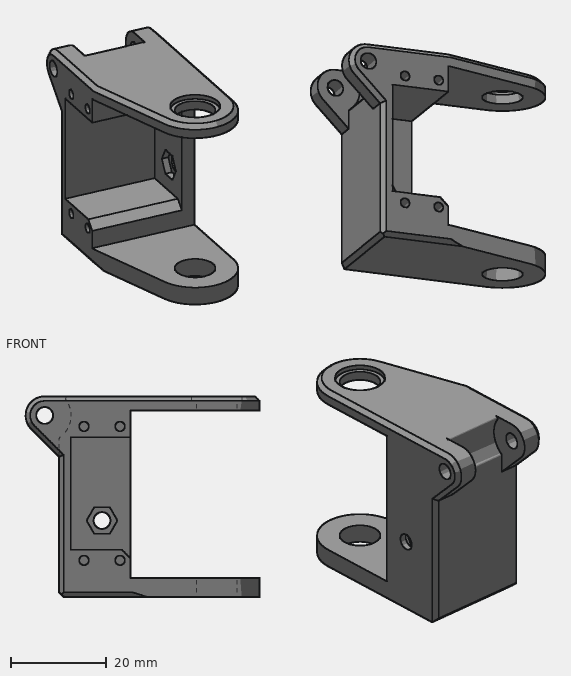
import math

import cadquery as cq

length = 48.95
width = 24.0
height = 42.0
chamfer = 1.0

arm_radius = 9.0
pivot_x = length - arm_radius
pivot_y = width - arm_radius
taper_start_x = 22.5
bottom_arm_thickness = 4.0
top_arm_thickness = 3.0
pivot_hole_diameter = 8.5
pivot_recess_diameter = 10.5
pivot_recess_depth = 1.0

back_x = 7.0
body_end_x = 22.0

lug_radius = 4.0
lug_width = 5.0
lug_root_x = 8.9
lug_hole_diameter = 3.5
hinge_x = lug_radius
hinge_z = height - lug_radius

groove_radius = 5.5
lip_radius = 0.5

pocket_x = 9.45
pocket_bottom_z = 9.95
pocket_top_z = 33.45
pocket_bevel = 1.85
pocket_floor_thickness = 3.0

screw_hole_diameter = 2.0
screw_hole_depth = 10.0
screw_hole_xs = (12.25, 19.8)
screw_hole_zs = (7.7, 35.7)

bolt_x = 16.0
bolt_z = 16.0
bolt_hole_diameter = 3.5
nut_across_corners = 6.45
nut_recess_depth = 1.5


def plane_at_y(y):
    """Sketch plane whose local axes are global X and Z and that extrudes toward +Y."""
    return cq.Workplane(cq.Plane(origin=(0, y, 0), xDir=(1, 0, 0), normal=(0, -1, 0)))


def extrude_back(sketch, depth):
    return sketch.extrude(-depth)


def polar_point(x, z, radius, angle):
    return (x + radius * math.cos(angle), z + radius * math.sin(angle))


def make_frame():
    """Outline of the arms over the full height, opened between the two arms."""
    run = pivot_x - taper_start_x
    taper_angle = math.atan2(pivot_y, run) - math.asin(arm_radius / math.hypot(run, pivot_y))
    taper_end = polar_point(pivot_x, pivot_y, arm_radius, taper_angle - math.pi / 2)

    frame = (
        cq.Workplane("XY")
        .moveTo(back_x, 0)
        .lineTo(taper_start_x, 0)
        .lineTo(*taper_end)
        .threePointArc((length, pivot_y), (pivot_x, width))
        .lineTo(back_x, width)
        .close()
        .extrude(height)
    )
    frame = frame.faces("<X").edges("|Z").chamfer(chamfer)
    frame = frame.faces(">Z").edges("not(<X)").chamfer(chamfer)

    gap_height = height - bottom_arm_thickness - top_arm_thickness
    gap = cq.Workplane("XY").box(length, width, gap_height, centered=False)
    return frame.cut(gap.translate((body_end_x, 0, bottom_arm_thickness)))


def bevel_base(body):
    """Straight bevels along the lower front and lower back edges."""
    corner = [(0, 0), (chamfer, 0), (0, chamfer)]
    front_bevel = cq.Workplane("YZ").polyline(corner).close().extrude(length)
    back_bevel = cq.Workplane("XZ").polyline(corner).close().extrude(-width)
    return body.cut(front_bevel).cut(back_bevel.translate((back_x, 0, 0)))


def cut_pivot_holes(body):
    bore = cq.Workplane("XY").circle(pivot_hole_diameter / 2).extrude(height)
    recess = (
        cq.Workplane("XY", origin=(0, 0, height - pivot_recess_depth))
        .circle(pivot_recess_diameter / 2)
        .extrude(pivot_recess_depth)
    )
    return body.cut(bore.union(recess).translate((pivot_x, pivot_y, 0)))


def cut_groove(body):
    """Round groove around the hinge axis, with both lips rounded over."""
    reach = groove_radius + lip_radius
    upper_angle = math.asin((lug_radius - lip_radius) / reach)
    lower_angle = -math.acos((back_x + lip_radius - hinge_x) / reach)
    upper_lip = polar_point(hinge_x, hinge_z, reach, upper_angle)
    lower_lip = polar_point(hinge_x, hinge_z, reach, lower_angle)

    upper_middle = (upper_angle + math.pi + math.pi / 2) / 2
    lower_middle = (lower_angle + math.pi + math.pi) / 2

    sketch = (
        plane_at_y(lug_width)
        .moveTo(0, lower_lip[1])
        .lineTo(back_x, lower_lip[1])
        .threePointArc(
            polar_point(*lower_lip, lip_radius, lower_middle),
            polar_point(hinge_x, hinge_z, groove_radius, lower_angle),
        )
        .threePointArc(
            (hinge_x + groove_radius, hinge_z),
            polar_point(hinge_x, hinge_z, groove_radius, upper_angle),
        )
        .threePointArc(
            polar_point(*upper_lip, lip_radius, upper_middle),
            (upper_lip[0], height),
        )
        .lineTo(0, height)
        .close()
    )
    return body.cut(extrude_back(sketch, width - 2 * lug_width))


def make_front_lug():
    """Rounded lug whose underside slopes at 45 degrees into the body."""
    slope_start = polar_point(hinge_x, hinge_z, lug_radius, math.radians(225))
    slope_end_z = slope_start[1] - (lug_root_x - slope_start[0])
    sketch = (
        plane_at_y(0)
        .moveTo(lug_root_x, height)
        .lineTo(hinge_x, height)
        .threePointArc((0, hinge_z), slope_start)
        .lineTo(lug_root_x, slope_end_z)
        .close()
    )
    lug = extrude_back(sketch, lug_width)
    return lug.faces("<Y").edges("not(>X)").chamfer(chamfer)


def add_lugs(body):
    front_lug = make_front_lug()
    back_lug = front_lug.mirror("XZ").translate((0, width, 0))
    pin_hole = plane_at_y(0).center(hinge_x, hinge_z).circle(lug_hole_diameter / 2)
    for lug in (front_lug, back_lug):
        body = body.union(lug)
    return body.cut(extrude_back(pin_hole, width))


def cut_pocket(body):
    """Front pocket with a bevelled lower corner at its open end."""
    sketch = plane_at_y(0).polyline(
        [
            (pocket_x, pocket_top_z),
            (pocket_x, pocket_bottom_z),
            (body_end_x - pocket_bevel, pocket_bottom_z),
            (body_end_x, pocket_bottom_z - pocket_bevel),
            (body_end_x, pocket_top_z),
        ]
    ).close()
    return body.cut(extrude_back(sketch, width - pocket_floor_thickness))


def cut_bolt_hole(body):
    floor = plane_at_y(width - pocket_floor_thickness).center(bolt_x, bolt_z)
    hole = extrude_back(floor.circle(bolt_hole_diameter / 2), pocket_floor_thickness)
    nut_recess = extrude_back(floor.polygon(6, nut_across_corners), nut_recess_depth)
    return body.cut(hole).cut(nut_recess)


def cut_screw_holes(body):
    centres = [(x, z) for x in screw_hole_xs for z in screw_hole_zs]
    sketch = plane_at_y(0).pushPoints(centres).circle(screw_hole_diameter / 2)
    return body.cut(extrude_back(sketch, screw_hole_depth))


bracket = make_frame()
bracket = bevel_base(bracket)
bracket = cut_pivot_holes(bracket)
bracket = cut_groove(bracket)
bracket = add_lugs(bracket)
bracket = cut_pocket(bracket)
bracket = cut_bolt_hole(bracket)
bracket = cut_screw_holes(bracket)
result = bracket